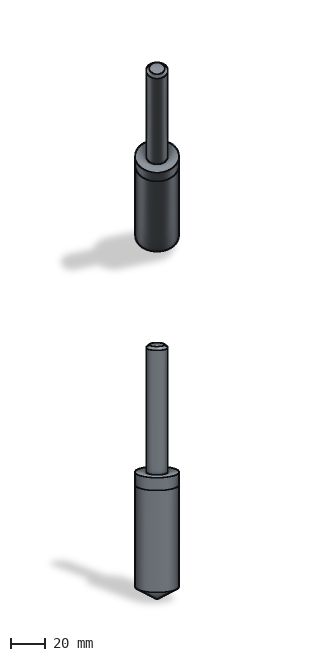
import cadquery as cq

total_length = 152.4
body_diameter = 25.5
shank_diameter = 12.6
cone_height = 7.6
collar_thickness = 7.6
shank_length = 76.2
chamfer_size = 1.8

body_radius = body_diameter / 2
shank_base_z = total_length - shank_length
joint_z = shank_base_z - collar_thickness


def make_pointed_body():
    """Solid cylinder ending in a cone that points down."""
    return (
        cq.Workplane("XZ")
        .polyline([
            (0, 0),
            (body_radius, cone_height),
            (body_radius, joint_z),
            (0, joint_z),
        ])
        .close()
        .revolve(360, (0, 0, 0), (0, 1, 0))
    )


def make_collared_shank():
    """Collar resting on the pointed body, with a chamfered shank above it."""
    collar = (
        cq.Workplane("XY", origin=(0, 0, joint_z))
        .circle(body_radius)
        .extrude(collar_thickness)
    )
    shank = (
        cq.Workplane("XY", origin=(0, 0, shank_base_z))
        .circle(shank_diameter / 2)
        .extrude(shank_length)
        .faces(">Z")
        .chamfer(chamfer_size)
    )
    return collar.union(shank)


pointed_body = make_pointed_body()
collared_shank = make_collared_shank()

result = cq.Compound.makeCompound([pointed_body.val(), collared_shank.val()])